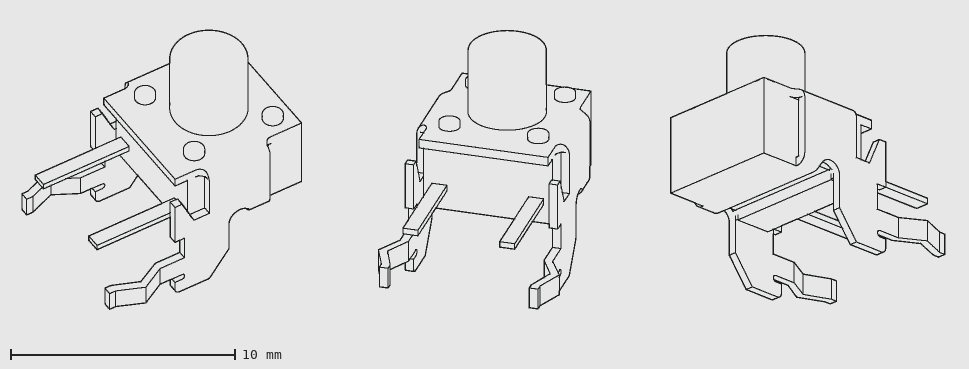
import cadquery as cq


body_size = 6.0
body_height = 3.7
sheet_depth = 0.43
plate_overhang = 0.65
half_body = body_size / 2
tab_under_z = body_height - sheet_depth

button_diameter = 3.5
button_top = 6.94
button_round = 0.15

stud_diameter = 0.95
stud_height = 0.3
stud_round = 0.05
stud_pitch = 4.13

lead_width = 0.7
lead_pitch = 4.5
lead_bottom = 0.95
lead_thickness = 0.28
lead_tip_y = -7.5

bracket_outer = 3.55
bracket_inner = 3.15
bend_radius = 0.5
bracket_back = 1.0
tab_front = -2.19
tab_corner_radius = 0.38
shelf_z = 1.23
barb_top_z = 2.57
barb_top_back = -3.61
barb_front = -4.0
barb_bottom = 0.35
neck_front = -3.5
foot_bottom = -2.9
foot_back = -2.19
foot_corner_radius = 0.26
leg_back = -1.15
leg_chamfer_top = -1.55

arm_top = -0.88
arm_height = 1.0
arm_bottom = arm_top - arm_height
arm_bend_y = -4.78
arm_crest_y = -5.94
arm_crest_outer = 4.205
arm_crest_inner = 3.78
arm_end_bend_y = -7.2
arm_tip_y = -7.52
arm_tip_outer = 3.69
arm_tip_inner = 3.28
slot_height = 0.3

notch_radius = 0.57
notch_y = leg_back + notch_radius
notch_z = 0.03


def box(x_min, x_max, y_min, y_max, z_min, z_max):
    """Box given by its limits along each axis."""
    size = (x_max - x_min, y_max - y_min, z_max - z_min)
    return cq.Workplane("XY").box(*size, centered=False).translate((x_min, y_min, z_min))


def make_housing():
    housing = box(-half_body, half_body, -half_body, half_body, 0, body_height)
    plate_front = -half_body - plate_overhang
    plate = box(-half_body, half_body, plate_front, half_body, tab_under_z, body_height)
    return housing.union(plate)


def make_button():
    height = button_top - body_height
    button = cq.Workplane("XY").workplane(offset=body_height).circle(button_diameter / 2).extrude(height)
    return button.faces(">Z").edges().fillet(button_round)


def make_studs():
    studs = (
        cq.Workplane("XY")
        .workplane(offset=body_height)
        .rect(stud_pitch, stud_pitch, forConstruction=True)
        .vertices()
        .circle(stud_diameter / 2)
        .extrude(stud_height)
    )
    return studs.faces(">Z").edges().fillet(stud_round)


def make_lead(center_x):
    half_width = lead_width / 2
    lead_top = lead_bottom + lead_thickness
    return box(center_x - half_width, center_x + half_width, lead_tip_y, -half_body, lead_bottom, lead_top)


def make_side_plate():
    """Flat side of the +X bracket, with its barb, hook and foot."""
    slot_bottom = arm_bottom - slot_height
    slot_radius = slot_height / 2
    slot_center_y = neck_front - slot_radius
    return (
        cq.Workplane("YZ")
        .workplane(offset=bracket_inner)
        .moveTo(bracket_back, 0)
        .lineTo(bracket_back, body_height)
        .lineTo(tab_front, body_height)
        .lineTo(tab_front, shelf_z)
        .lineTo(-half_body, shelf_z)
        .lineTo(barb_top_back, barb_top_z)
        .lineTo(barb_front, barb_top_z)
        .lineTo(barb_front, barb_bottom)
        .lineTo(neck_front, barb_bottom)
        .lineTo(neck_front, arm_top)
        .lineTo(barb_front, arm_top)
        .lineTo(barb_front, arm_bottom)
        .lineTo(slot_center_y, arm_bottom)
        .threePointArc((neck_front, arm_bottom - slot_radius), (slot_center_y, slot_bottom))
        .lineTo(barb_front, slot_bottom)
        .lineTo(barb_front, foot_bottom + foot_corner_radius)
        .radiusArc((barb_front + foot_corner_radius, foot_bottom), -foot_corner_radius)
        .lineTo(foot_back, foot_bottom)
        .lineTo(leg_back, leg_chamfer_top)
        .lineTo(leg_back, 0)
        .close()
        .extrude(bracket_outer - bracket_inner)
    )


def make_top_tab():
    """Tab joining the side plate to the top plate, flared where it meets the housing."""
    radius = tab_corner_radius
    flare_x = half_body + radius
    return (
        cq.Workplane("XY")
        .workplane(offset=tab_under_z)
        .moveTo(half_body, tab_front - radius)
        .radiusArc((flare_x, tab_front), radius)
        .lineTo(bracket_outer, tab_front)
        .lineTo(bracket_outer, bracket_back)
        .lineTo(flare_x, bracket_back)
        .radiusArc((half_body, bracket_back + radius), radius)
        .close()
        .extrude(sheet_depth)
    )


def make_bend_envelope():
    """Section that rounds the outer bends between the side plate and its tabs."""
    bend_x = bracket_outer - bend_radius
    depth = bracket_back - tab_front + 2 * tab_corner_radius
    return (
        cq.Workplane("XZ", origin=(0, bracket_back + tab_corner_radius, 0))
        .moveTo(half_body, 0)
        .lineTo(bend_x, 0)
        .radiusArc((bracket_outer, bend_radius), -bend_radius)
        .lineTo(bracket_outer, body_height - bend_radius)
        .radiusArc((bend_x, body_height), -bend_radius)
        .lineTo(half_body, body_height)
        .close()
        .extrude(depth)
    )


def make_arm():
    """Zigzag spring arm of the +X bracket."""
    outline = [
        (bracket_inner, barb_front),
        (bracket_outer, barb_front),
        (bracket_outer, arm_bend_y),
        (arm_crest_outer, arm_crest_y),
        (arm_tip_outer, arm_end_bend_y),
        (arm_tip_outer, arm_tip_y),
        (arm_tip_inner, arm_tip_y),
        (arm_tip_inner, arm_end_bend_y),
        (arm_crest_inner, arm_crest_y),
        (bracket_inner, arm_bend_y),
    ]
    return cq.Workplane("XY").workplane(offset=arm_bottom).polyline(outline).close().extrude(arm_height)


def make_notch(ceiling_z, x_min, x_max):
    """Round cutter along X, flattened at the ceiling height."""
    cylinder = (
        cq.Workplane("YZ", origin=(x_min, notch_y, notch_z))
        .circle(notch_radius)
        .extrude(x_max - x_min)
    )
    block = box(x_min, x_max, leg_back, notch_y + notch_radius, -notch_radius, notch_z)
    limit = box(x_min, x_max, leg_back, notch_y + notch_radius, -notch_radius, ceiling_z)
    return cylinder.union(block).intersect(limit)


def make_bracket():
    """Bracket on the +X side."""
    plate = make_side_plate()
    bottom_tab = box(half_body, bracket_outer, leg_back, bracket_back, 0, sheet_depth)
    bent = plate.union(make_top_tab()).union(bottom_tab)

    rounded = bent.intersect(make_bend_envelope())
    flat = plate.intersect(box(bracket_inner, bracket_outer, barb_front, notch_y, foot_bottom, barb_top_z))
    notch = make_notch(notch_z + notch_radius, half_body, bracket_outer)
    return rounded.union(flat).cut(notch).union(make_arm())


housing_groove = make_notch(sheet_depth, -half_body, half_body)
result = make_housing().cut(housing_groove)
result = result.union(make_button()).union(make_studs())

for side in (-1, 1):
    result = result.union(make_lead(side * lead_pitch / 2))

right_bracket = make_bracket()
left_bracket = right_bracket.mirror("YZ")
result = result.union(right_bracket).union(left_bracket)